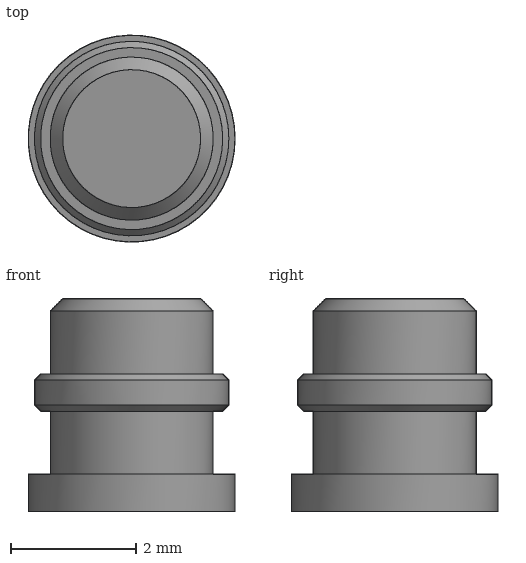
import cadquery as cq

total_height = 3.4
body_diameter = 2.6
top_chamfer = 0.2

flange_diameter = 3.3
flange_thickness = 0.6

collar_diameter = 3.1
collar_base_height = 1.6
collar_thickness = 0.6
collar_chamfer = 0.1


def make_disc(diameter, base_height, thickness):
    """Solid cylinder about Z, standing on the given height."""
    return cq.Workplane("XY").workplane(offset=base_height).circle(diameter / 2).extrude(thickness)


flange = make_disc(flange_diameter, 0, flange_thickness)

body = make_disc(body_diameter, 0, total_height).faces(">Z").edges().chamfer(top_chamfer)

collar = make_disc(collar_diameter, collar_base_height, collar_thickness)
collar = collar.faces("<Z or >Z").edges().chamfer(collar_chamfer)

result = body.union(flange).union(collar)